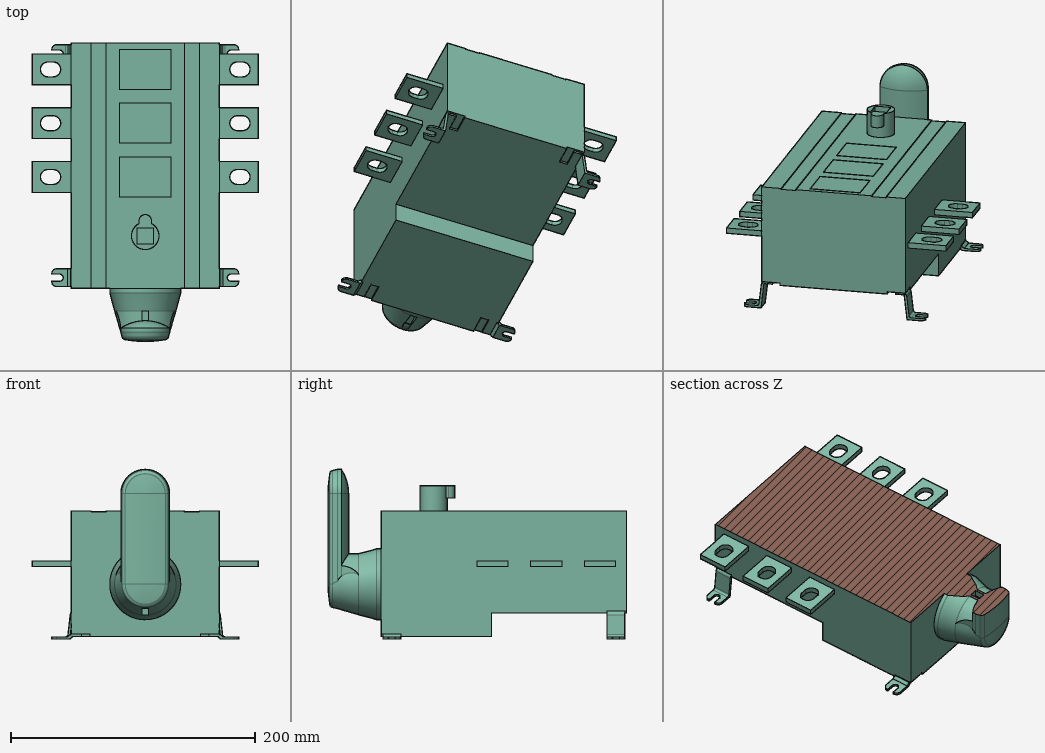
import cadquery as cq

OVERALL_LENGTH = 244.2
OVERALL_HEIGHT = 139.0
OVERALL_WIDTH = 185.0

HANDLE_REACH = 43.5
BODY_LENGTH = OVERALL_LENGTH - HANDLE_REACH
BODY_WIDTH = 121.1
BODY_BOTTOM = 2.2
BODY_TOP = 105.0
UNDERCUT_HEIGHT = 19.0
UNDERCUT_LENGTH = 110.5
UNDERCUT_Z = BODY_BOTTOM + UNDERCUT_HEIGHT

GROOVE_WIDTH = 12.2
GROOVE_OFFSET = 38.0
GROOVE_DEPTH = 0.7

POLE_COUNT = 3
POLE_PITCH = 44.0
FIRST_POLE_MARGIN = 21.7
FIRST_POLE_Y = BODY_LENGTH - FIRST_POLE_MARGIN
POLE_POSITIONS = [FIRST_POLE_Y - i * POLE_PITCH for i in range(POLE_COUNT)]
TERMINAL_WIDTH = 25.5
TERMINAL_THICKNESS = 4.6
TERMINAL_BOTTOM = 59.3
TERMINAL_HOLE_X = 77.5
TERMINAL_HOLE_LENGTH = 16.4
TERMINAL_HOLE_WIDTH = 12.0
WINDOW_WIDTH = 42.0
WINDOW_LENGTH = 32.7
WINDOW_DEPTH = 0.2

SHAFT_Y = 43.0
SHAFT_RADIUS = 11.2
SHAFT_HEIGHT = 20.5
SOCKET_SIZE = 13.2
LOBE_RADIUS = 5.1
LOBE_OFFSET = 12.2
LOBE_HEIGHT = SHAFT_HEIGHT / 2

FOOT_THICKNESS = 2.0
FOOT_WIDTH = 14.7
FOOT_EDGE_GAP = 1.5
FOOT_TIP_X = 76.5
FOOT_BEND_X = 63.5
FOOT_ROOT_X = 52.0
FOOT_CORNER_RADIUS = 4.0
FOOT_BEND_RADIUS = 4.0
FOOT_BEND_OFFSET = 0.5
FOOT_SLOT_WIDTH = 5.5
FOOT_SLOT_END_X = 67.2
POCKET_INNER_X = 45.2
POCKET_LENGTH = FOOT_EDGE_GAP + FOOT_WIDTH

GRIP_RADIUS = 20.0
HUB_Z = 45.0
GRIP_TOP_Z = OVERALL_HEIGHT - GRIP_RADIUS
HUB_BASE_RADIUS = 29.0
HUB_RIM = 3.7
HUB_STEP = 18.3
HUB_STEP_RADIUS = 25.2
HUB_NOSE = 39.5
HUB_NOSE_RADIUS = 19.0
FLANK_START_X = 24.0
FLANK_MIDDLE = 24.5
FLANK_MIDDLE_X = 21.5
GRIP_BACK = 26.4
GRIP_BACK_EDGE = 32.5
GRIP_SIDE_END = 35.7
GRIP_FRONT_EDGE = 42.0
GRIP_FRONT_EDGE_X = 16.4
GRIP_CORNER = 41.3
GRIP_CORNER_X = 18.0

NOTCH_WIDTH = 5.5
NOTCH_FLOOR_RADIUS = 19.5


def box(x_range, y_range, z_range):
    """Axis-aligned box from its three coordinate ranges."""
    (x0, x1), (y0, y1), (z0, z1) = x_range, y_range, z_range
    return cq.Workplane("XY").box(x1 - x0, y1 - y0, z1 - z0, centered=False).translate((x0, y0, z0))


def both_sides(shape):
    """Shape joined with its mirror image across the symmetry plane."""
    return shape.union(shape.mirror("YZ"))


def make_body():
    body = (
        cq.Workplane("YZ")
        .moveTo(0, BODY_BOTTOM)
        .lineTo(0, BODY_TOP)
        .lineTo(BODY_LENGTH, BODY_TOP)
        .lineTo(BODY_LENGTH, UNDERCUT_Z)
        .lineTo(BODY_LENGTH - UNDERCUT_LENGTH, UNDERCUT_Z)
        .lineTo(BODY_LENGTH - UNDERCUT_LENGTH, BODY_BOTTOM)
        .close()
        .extrude(BODY_WIDTH / 2, both=True)
    )
    groove = box(
        (GROOVE_OFFSET - GROOVE_WIDTH / 2, GROOVE_OFFSET + GROOVE_WIDTH / 2),
        (0, BODY_LENGTH),
        (BODY_TOP - GROOVE_DEPTH, BODY_TOP),
    )
    windows = (
        cq.Workplane("XY", origin=(0, 0, BODY_TOP))
        .pushPoints([(0, y) for y in POLE_POSITIONS])
        .rect(WINDOW_WIDTH, WINDOW_LENGTH)
        .extrude(-WINDOW_DEPTH)
    )
    return body.cut(both_sides(groove)).cut(windows)


def make_foot_pocket(y_start, z_bottom):
    """Shallow pockets under the body that take the roots of a pair of feet."""
    pocket = box(
        (POCKET_INNER_X, BODY_WIDTH / 2),
        (y_start, y_start + POCKET_LENGTH),
        (z_bottom, z_bottom + FOOT_THICKNESS),
    )
    return both_sides(pocket)


def make_feet(y_start, root_z, rounded_bends):
    """Pair of bent feet; each root lies at root_z and its slotted pad rests on Z = 0."""
    y_middle = y_start + FOOT_WIDTH / 2
    bend_top_x = BODY_WIDTH / 2 + FOOT_BEND_OFFSET
    foot = (
        cq.Workplane("XZ", origin=(0, y_start, 0))
        .moveTo(FOOT_TIP_X, 0)
        .lineTo(FOOT_TIP_X, FOOT_THICKNESS)
        .lineTo(FOOT_BEND_X, FOOT_THICKNESS)
        .lineTo(bend_top_x, root_z + FOOT_THICKNESS)
        .lineTo(FOOT_ROOT_X, root_z + FOOT_THICKNESS)
        .lineTo(FOOT_ROOT_X, root_z)
        .lineTo(bend_top_x - FOOT_THICKNESS, root_z)
        .lineTo(FOOT_BEND_X - FOOT_THICKNESS, 0)
        .close()
        .extrude(-FOOT_WIDTH)
    )
    if rounded_bends:
        outer_top = (bend_top_x, y_middle, root_z + FOOT_THICKNESS)
        inner_bottom = (FOOT_BEND_X, y_middle, FOOT_THICKNESS)
        foot = foot.edges(cq.NearestToPointSelector(outer_top)).fillet(FOOT_BEND_RADIUS)
        foot = foot.edges(cq.NearestToPointSelector(inner_bottom)).fillet(FOOT_BEND_RADIUS / 2)
    foot = foot.edges("|Z and >X").fillet(FOOT_CORNER_RADIUS)
    slot_end_center = FOOT_SLOT_END_X + FOOT_SLOT_WIDTH / 2
    slot = box(
        (slot_end_center, FOOT_TIP_X),
        (y_middle - FOOT_SLOT_WIDTH / 2, y_middle + FOOT_SLOT_WIDTH / 2),
        (0, FOOT_THICKNESS),
    )
    slot_end = (
        cq.Workplane("XY")
        .center(slot_end_center, y_middle)
        .circle(FOOT_SLOT_WIDTH / 2)
        .extrude(FOOT_THICKNESS)
    )
    return both_sides(foot.cut(slot).cut(slot_end))


def make_terminals():
    """Flat bars through the body, with a slotted hole at each end."""
    bars = (
        cq.Workplane("XY", origin=(0, 0, TERMINAL_BOTTOM))
        .pushPoints([(0, y) for y in POLE_POSITIONS])
        .rect(OVERALL_WIDTH, TERMINAL_WIDTH)
        .extrude(TERMINAL_THICKNESS)
    )
    holes = (
        cq.Workplane("XY", origin=(0, 0, TERMINAL_BOTTOM))
        .pushPoints([(side * TERMINAL_HOLE_X, y) for side in (-1, 1) for y in POLE_POSITIONS])
        .slot2D(TERMINAL_HOLE_LENGTH, TERMINAL_HOLE_WIDTH)
        .extrude(TERMINAL_THICKNESS)
    )
    return bars.cut(holes)


def make_shaft():
    """Round shaft with a keying lobe on its upper half and a square socket."""
    shaft = cq.Workplane("XY", origin=(0, SHAFT_Y, BODY_TOP)).circle(SHAFT_RADIUS).extrude(SHAFT_HEIGHT)
    lobe_plane = cq.Workplane("XY", origin=(0, SHAFT_Y, BODY_TOP + SHAFT_HEIGHT - LOBE_HEIGHT))
    lobe_tip = lobe_plane.center(0, LOBE_OFFSET).circle(LOBE_RADIUS).extrude(LOBE_HEIGHT)
    lobe_neck = lobe_plane.center(0, LOBE_OFFSET / 2).rect(2 * LOBE_RADIUS, LOBE_OFFSET).extrude(LOBE_HEIGHT)
    socket = (
        cq.Workplane("XY", origin=(0, SHAFT_Y, BODY_TOP))
        .rect(SOCKET_SIZE, SOCKET_SIZE)
        .extrude(SHAFT_HEIGHT)
    )
    return shaft.union(lobe_tip).union(lobe_neck).cut(socket)


def revolve_hub(profile):
    """Revolve (radius, distance from body front) points about the hub axis."""
    points = [(radius, -reach) for radius, reach in profile]
    return cq.Workplane("XY", origin=(0, 0, HUB_Z)).polyline(points).close().revolve(360, (0, 0), (0, 1))


def make_hub():
    """Conical hub with a cylindrical upper neck, narrowed by concave flanks, and two notches."""
    base = revolve_hub([
        (0, 0),
        (HUB_BASE_RADIUS, 0),
        (HUB_BASE_RADIUS, HUB_RIM),
        (HUB_STEP_RADIUS, HUB_STEP),
        (0, HUB_STEP),
    ])
    nose = revolve_hub([
        (0, HUB_STEP),
        (HUB_STEP_RADIUS, HUB_STEP),
        (HUB_NOSE_RADIUS, HUB_NOSE),
        (0, HUB_NOSE),
    ])
    neck = revolve_hub([
        (0, HUB_STEP),
        (HUB_STEP_RADIUS, HUB_STEP),
        (HUB_STEP_RADIUS, GRIP_SIDE_END),
        (0, GRIP_SIDE_END),
    ])
    neck_limit = (
        cq.Workplane("XY", origin=(0, 0, HUB_Z))
        .moveTo(0, -HUB_STEP)
        .lineTo(FLANK_START_X, -HUB_STEP)
        .threePointArc((FLANK_MIDDLE_X, -FLANK_MIDDLE), (GRIP_RADIUS, -GRIP_BACK_EDGE))
        .lineTo(0, -GRIP_BACK_EDGE)
        .close()
        .extrude(HUB_STEP_RADIUS)
    )
    neck = neck.intersect(both_sides(neck_limit))
    hub = base.union(nose).union(neck)
    for z_low in (HUB_Z + NOTCH_FLOOR_RADIUS, HUB_Z - HUB_STEP_RADIUS):
        notch = box(
            (-NOTCH_WIDTH / 2, NOTCH_WIDTH / 2),
            (-HUB_NOSE, -HUB_STEP),
            (z_low, z_low + HUB_STEP_RADIUS - NOTCH_FLOOR_RADIUS),
        )
        hub = hub.cut(notch)
    return hub


def grip_section(z):
    """Outline of the grip at height z, crowned front and back."""
    return (
        cq.Workplane("XY", origin=(0, 0, z))
        .moveTo(-GRIP_RADIUS, -GRIP_BACK_EDGE)
        .threePointArc((0, -GRIP_BACK), (GRIP_RADIUS, -GRIP_BACK_EDGE))
        .lineTo(GRIP_RADIUS, -GRIP_SIDE_END)
        .lineTo(HUB_NOSE_RADIUS, -HUB_NOSE)
        .threePointArc((GRIP_CORNER_X, -GRIP_CORNER), (GRIP_FRONT_EDGE_X, -GRIP_FRONT_EDGE))
        .threePointArc((0, -HANDLE_REACH), (-GRIP_FRONT_EDGE_X, -GRIP_FRONT_EDGE))
        .threePointArc((-GRIP_CORNER_X, -GRIP_CORNER), (-HUB_NOSE_RADIUS, -HUB_NOSE))
        .lineTo(-GRIP_RADIUS, -GRIP_SIDE_END)
        .close()
    )


def grip_end(z):
    """Rounded end of the grip: the right half of its section turned about a Y axis at height z."""
    slab_height = 2.5
    right_half = box((0, GRIP_RADIUS), (-HANDLE_REACH, -GRIP_BACK), (z, z + slab_height))
    half_slab = grip_section(z).extrude(slab_height).intersect(right_half)
    return half_slab.faces("<Z").wires().toPending().revolve(360, (0, 0), (0, 1), combine=False)


def make_grip():
    shank = grip_section(HUB_Z).extrude(GRIP_TOP_Z - HUB_Z)
    return shank.union(grip_end(GRIP_TOP_Z)).union(grip_end(HUB_Z))


front_feet_y = FOOT_EDGE_GAP
rear_feet_y = BODY_LENGTH - FOOT_EDGE_GAP - FOOT_WIDTH

result = (
    make_body()
    .cut(make_foot_pocket(0, BODY_BOTTOM))
    .cut(make_foot_pocket(BODY_LENGTH - POCKET_LENGTH, UNDERCUT_Z))
    .union(make_feet(front_feet_y, BODY_BOTTOM, rounded_bends=False))
    .union(make_feet(rear_feet_y, UNDERCUT_Z, rounded_bends=True))
    .union(make_terminals())
    .union(make_shaft())
    .union(make_hub())
    .union(make_grip())
)